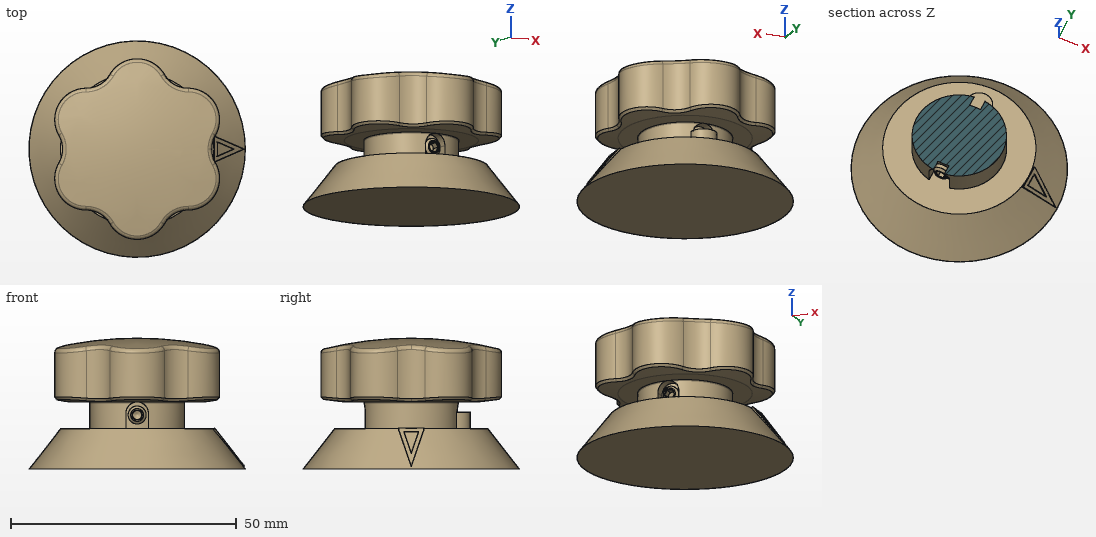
import cadquery as cq
import math

base_radius = 24.0
base_top_radius = 17.0
base_height = 8.95

neck_radius = 10.5
neck_top_radius = 10.55
neck_flare_height = 0.215
hub_radius = 8.15
window_width = 5.0
window_center_z = 12.35

screw_diameter = 4.0
screw_tip_diameter = 2.9
screw_center_z = 12.0
screw_end_y = -9.6
screw_chamfer = (screw_diameter - screw_tip_diameter) / 2
hex_across_flats = 2.0
hex_depth = 1.9
hex_lead_in = 0.2
drill_cone_depth = 0.58

pin_radius = 6.0 / 2
pin_center_y = 10.1
pin_top_z = 12.6

lobe_count = 6
lobe_radius = 7.0
valley_radius = 6.0
knob_bottom = 14.85
underside_flat_radius = 14.85
underside_slope = 0.12
total_height = 29.0
dome_radius = 80.1
top_fillet = 1.0
bottom_chamfer = 0.55

pointer_length = 10.7
pointer_half_width = 2.9
pointer_wall = 0.95
pointer_relief = 0.25
pointer_root = 0.5


def revolve_about_z(profile):
    """Solid of revolution from closed (radius, z) points."""
    return cq.Workplane("XZ").polyline(profile).close().revolve(360, (0, 0), (0, 1))


def polar(radius, degrees):
    angle = math.radians(degrees)
    return cq.Vector(radius * math.cos(angle), radius * math.sin(angle))


def make_base():
    return revolve_about_z([(0, 0), (base_radius, 0), (base_top_radius, base_height), (0, base_height)])


def make_neck():
    sleeve = revolve_about_z([
        (0, base_height),
        (neck_radius, base_height),
        (neck_radius, knob_bottom - neck_flare_height),
        (neck_top_radius, knob_bottom),
        (0, knob_bottom),
    ])
    half = window_width / 2
    window = (
        cq.Workplane("XZ")
        .moveTo(-half, base_height)
        .lineTo(-half, window_center_z)
        .threePointArc((0, window_center_z + half), (half, window_center_z))
        .lineTo(half, base_height)
        .close()
        .extrude(neck_top_radius, both=True)
    )
    hub = cq.Workplane("XY", origin=(0, 0, base_height)).circle(hub_radius).extrude(knob_bottom - base_height)
    return sleeve.cut(window).union(hub)


def make_pin():
    pin = cq.Workplane("XY", origin=(0, pin_center_y, base_height)).circle(pin_radius)
    return pin.extrude(pin_top_z - base_height)


def make_knob_outline():
    """Convex lobes and concave valleys joined tangentially.

    Lobe centres are as far from the axis as from the neighbouring valley centres,
    so each lobe arc ends one pitch angle either side of its tip.
    """
    pitch = 360 / lobe_count
    center_distance = lobe_radius + valley_radius
    lobe_tip = center_distance + lobe_radius
    valley_bottom = 2 * center_distance * math.cos(math.radians(pitch / 2)) - valley_radius

    def lobe_end(lobe_angle, side):
        return polar(center_distance, lobe_angle) + polar(lobe_radius, lobe_angle + side * pitch)

    first_lobe = pitch / 2
    first_start = lobe_end(first_lobe, -1)
    outline = cq.Workplane("XY").moveTo(first_start.x, first_start.y)
    for i in range(lobe_count):
        lobe = first_lobe + i * pitch
        outline = outline.threePointArc(polar(lobe_tip, lobe), lobe_end(lobe, 1))
        outline = outline.threePointArc(polar(valley_bottom, lobe + pitch / 2), lobe_end(lobe + pitch, -1))
    return outline.close()


def make_knob():
    """Lobed column under a spherical dome, with an underside that rises towards the rim."""
    dome = cq.Workplane("XY", origin=(0, 0, total_height - dome_radius)).sphere(dome_radius)
    rim_bottom = knob_bottom + underside_slope * (base_radius - underside_flat_radius)
    envelope = revolve_about_z([
        (0, knob_bottom),
        (underside_flat_radius, knob_bottom),
        (base_radius, rim_bottom),
        (base_radius, total_height),
        (0, total_height),
    ])
    knob = make_knob_outline().extrude(total_height).intersect(envelope).intersect(dome)
    knob = knob.faces("%SPHERE").edges("%BSPLINE").fillet(top_fillet)
    return knob.faces("%CONE").edges("%BSPLINE").chamfer(bottom_chamfer)


def screw_end_plane():
    """Plane on the outer end of the screw, facing -Y."""
    return cq.Workplane("XZ", origin=(0, screw_end_y, screw_center_z))


def make_screw():
    screw = screw_end_plane().circle(screw_diameter / 2).extrude(screw_end_y)
    return screw.faces("<Y").chamfer(screw_chamfer)


def make_screw_socket():
    """Hex socket with a conical lead-in, ending in a drill cone."""
    hex_corner_diameter = hex_across_flats / math.cos(math.radians(30))
    mouth_radius = hex_corner_diameter / 2

    def cone(start_radius, end_radius, start, depth):
        center = cq.Vector(0, screw_end_y + start, screw_center_z)
        return cq.Solid.makeCone(start_radius, end_radius, depth, center, cq.Vector(0, 1, 0))

    socket = screw_end_plane().polygon(6, hex_corner_diameter).extrude(-hex_depth)
    lead_in = cone(mouth_radius, mouth_radius - hex_lead_in, 0, hex_lead_in)
    drill_point = cone(hex_across_flats / 2, 0, hex_depth, drill_cone_depth)
    return socket.union(cq.Workplane(lead_in)).union(cq.Workplane(drill_point))


def make_pointer():
    """Triangular frame lying on the cone, its tip pointing down the slope."""
    run = base_radius - base_top_radius
    slope_plane = cq.Plane(
        origin=(base_top_radius, 0, base_height),
        xDir=(run, 0, -base_height),
        normal=(base_height, 0, run),
    )
    corners = [(0, -pointer_half_width), (pointer_length, 0), (0, pointer_half_width)]
    thickness = pointer_root + pointer_relief
    base = cq.Workplane(slope_plane).workplane(offset=-pointer_root)
    frame = base.polyline(corners).close().extrude(thickness)
    opening = base.polyline(corners).close().offset2D(-pointer_wall).extrude(thickness)
    return frame.cut(opening)


result = (
    make_base()
    .union(make_neck())
    .union(make_pin())
    .union(make_knob())
    .union(make_screw())
    .cut(make_screw_socket())
    .union(make_pointer())
)